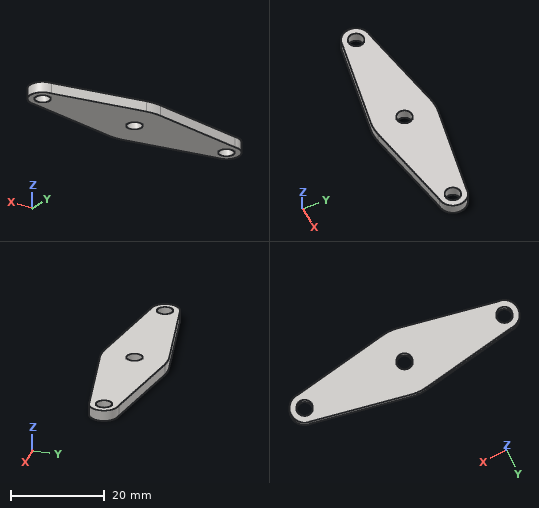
import cadquery as cq

thickness = 2.5
overall_length = 53.75
end_radius = 3.25
diamond_width = 15.0
corner_radius = 10.0
hole_diameter = 3.5

tip_x = overall_length / 2
end_center_x = tip_x - end_radius
corner_y = diamond_width / 2


def make_plate():
    """Diamond plate with semicircular ends and sharp broad corners."""
    return (
        cq.Workplane("XY")
        .moveTo(0, corner_y)
        .lineTo(end_center_x, end_radius)
        .threePointArc((tip_x, 0), (end_center_x, -end_radius))
        .lineTo(0, -corner_y)
        .lineTo(-end_center_x, -end_radius)
        .threePointArc((-tip_x, 0), (-end_center_x, end_radius))
        .close()
        .extrude(thickness)
    )


def round_broad_corners(plate):
    """Round the two obtuse corners, the upright edges farthest out along Y."""
    return plate.edges("|Z and (>Y or <Y)").fillet(corner_radius)


def cut_holes(plate):
    """Cut through holes at both end centers and at the middle of the plate."""
    hole_centers = [(x, 0) for x in (-end_center_x, 0, end_center_x)]
    holes = (
        cq.Workplane("XY")
        .pushPoints(hole_centers)
        .circle(hole_diameter / 2)
        .extrude(thickness)
    )
    return plate.cut(holes)


plate = round_broad_corners(make_plate())
result = cut_holes(plate)